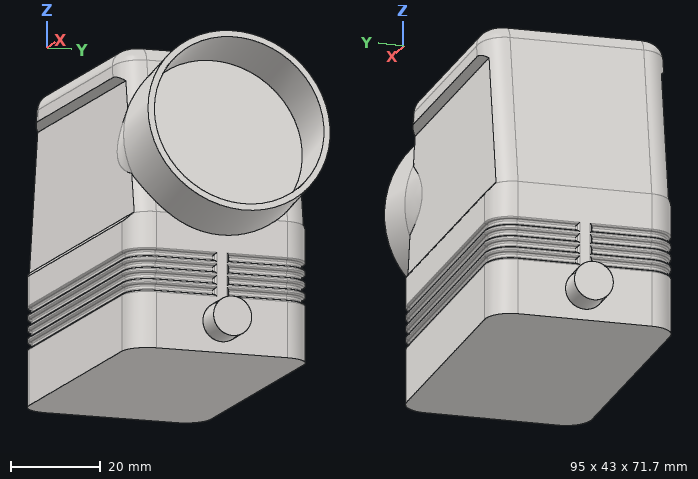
import cadquery as cq
import math

length = 73.0
width = 43.0
height = 70.0
half_length = length / 2
half_width = width / 2
base_height = 31.0
side_draft = 10.0
corner_radius = 6.0
top_radius = 4.0

recess_depth = 1.5
recess_bottom = base_height - recess_depth
recess_top = 63.4

groove_count = 4
groove_rounding = 0.4
groove_floor = 0.6
groove_crest = 0.4
groove_depth = 2 * groove_rounding
groove_opening = 4 * groove_rounding + groove_floor
groove_pitch = groove_opening + groove_crest
groove_band_bottom = 12.75
groove_band_height = groove_count * groove_pitch - groove_crest
end_web_width = 2.4
cutter_overhang = 2.0

pin_diameter = 9.0
pin_span = 87.0
pin_height = 7.0

tube_diameter = width
tube_bore = 40.0
mouth_center_x = 47.79
mouth_center_z = 50.57
tube_length = 16.3
bore_depth = 14.5
root_draft = 10.0
root_length = 22.0


def hood_body():
    """Upright base with a tapered upper part, rounded at its corners and its top."""
    draft_inset = (height - base_height) * math.tan(math.radians(side_draft))
    top_half_length = half_length - draft_inset
    profile = [
        (-half_length, 0),
        (half_length, 0),
        (half_length, base_height),
        (top_half_length, height),
        (-top_half_length, height),
        (-half_length, base_height),
    ]
    body = cq.Workplane("XZ").polyline(profile).close().extrude(half_width, both=True)
    end_edges = body.faces("<Y or >Y").edges("not #Z").edges("not |X")
    body = end_edges.fillet(corner_radius)
    return body.faces(">Z").edges().fillet(top_radius)


def wall_recess(side):
    """Cutter for the recess in one long wall, with 45 degree upper and lower edges."""
    profile = [
        (side * half_width, recess_bottom),
        (side * half_width, recess_top),
        (side * (half_width - recess_depth), recess_top - recess_depth),
        (side * (half_width - recess_depth), recess_bottom + recess_depth),
    ]
    return cq.Workplane("YZ").polyline(profile).close().extrude(half_length, both=True)


def groove_band_path():
    """Half loop around the base along the lower rim of the groove band, from end to end past the +Y wall."""
    straight_x = half_length - corner_radius
    straight_y = half_width - corner_radius
    return (
        cq.Workplane("XY", origin=(0, 0, groove_band_bottom))
        .moveTo(-half_length, 0)
        .lineTo(-half_length, straight_y)
        .radiusArc((-straight_x, half_width), corner_radius)
        .lineTo(straight_x, half_width)
        .radiusArc((half_length, straight_y), corner_radius)
        .lineTo(half_length, 0)
    )


def groove_band_profile():
    """Wavy section of the groove band, a row of grooves between narrow flat crests."""
    profile = (
        cq.Workplane("XZ", origin=(-half_length, 0, groove_band_bottom))
        .moveTo(-cutter_overhang, 0)
    )
    for index in range(groove_count):
        lower_rim = index * groove_pitch
        upper_rim = lower_rim + groove_opening
        profile = (
            profile.lineTo(0, lower_rim)
            .radiusArc((groove_rounding, lower_rim + groove_rounding), groove_rounding)
            .radiusArc((groove_depth, lower_rim + 2 * groove_rounding), -groove_rounding)
            .lineTo(groove_depth, upper_rim - 2 * groove_rounding)
            .radiusArc((groove_rounding, upper_rim - groove_rounding), -groove_rounding)
            .radiusArc((0, upper_rim), groove_rounding)
        )
    return profile.lineTo(-cutter_overhang, groove_band_height).close()


def end_web():
    """Upright web that interrupts the grooves at the middle of the -X end, with rounded flanks."""
    half_web = end_web_width / 2
    return (
        cq.Workplane("XY", origin=(-half_length, 0, groove_band_bottom))
        .moveTo(-cutter_overhang, 0)
        .lineTo(-cutter_overhang, half_web)
        .lineTo(0, half_web)
        .radiusArc((groove_rounding, half_web + groove_rounding), groove_rounding)
        .radiusArc((groove_depth, half_web + 2 * groove_rounding), -groove_rounding)
        .lineTo(cutter_overhang, half_web + 2 * groove_rounding)
        .lineTo(cutter_overhang, 0)
        .close()
        .extrude(groove_band_height)
    )


def groove_cutter():
    """Cutter for the grooves on the +Y half of the base."""
    cutter = groove_band_profile().sweep(groove_band_path())
    web = end_web()
    return cutter.cut(web).cut(web.mirror("YZ"))


def locking_pins():
    """Pins on both ends, made as one bar through the solid base."""
    return (
        cq.Workplane("YZ", origin=(0, 0, pin_height))
        .circle(pin_diameter / 2)
        .extrude(pin_span / 2, both=True)
    )


def entry_plane():
    """Plane of the tube mouth, with its normal pointing out of the tube."""
    angle = math.radians(side_draft)
    return cq.Plane(
        origin=(mouth_center_x, 0, mouth_center_z),
        xDir=(0, 1, 0),
        normal=(math.cos(angle), 0, math.sin(angle)),
    )


def entry_tube():
    """Tube with a conical root that runs out inside the hood."""
    mouth = cq.Workplane(entry_plane())
    tube = mouth.circle(tube_diameter / 2).extrude(-tube_length)
    root = (
        mouth.workplane(offset=-tube_length)
        .circle(tube_diameter / 2)
        .extrude(-root_length, taper=root_draft)
    )
    return tube.union(root)


def entry_bore():
    """Blind bore from the tube mouth to the end wall of the hood."""
    return cq.Workplane(entry_plane()).circle(tube_bore / 2).extrude(-bore_depth)


result = hood_body()
for side in (-1, 1):
    result = result.cut(wall_recess(side))
half_grooves = groove_cutter()
result = result.cut(half_grooves).cut(half_grooves.mirror("XZ"))
result = result.union(locking_pins()).union(entry_tube()).cut(entry_bore())